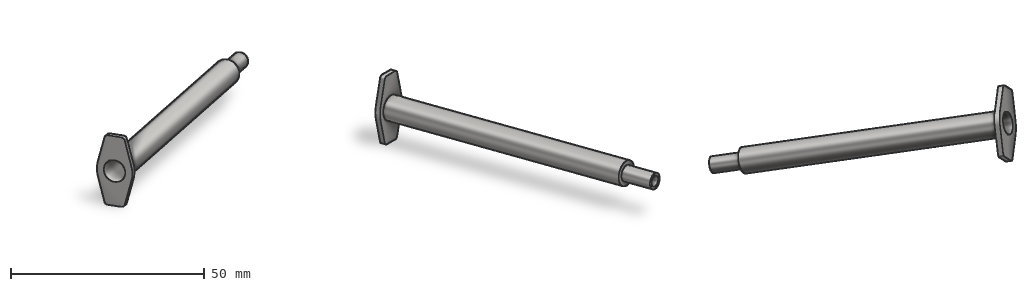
import cadquery as cq
import math

total_length = 84.6
flange_width = 10.0
flange_height = 19.4
flange_thickness = 1.5

flange_taper = math.radians(15)
side_radius = 7.5
corner_radius = 1.0

tube_diameter = 7.0
bore_diameter = 6.0
tip_diameter = 4.5
tip_hole_diameter = 3.0
tip_length = 9.0
shoulder_thickness = 1.5

tube_end = total_length - tip_length
bore_depth = tube_end - shoulder_thickness


def cylinder(diameter, start, end):
    """Solid cylinder on the Y axis between two Y positions."""
    axis_direction = cq.Vector(0, 1, 0)
    solid = cq.Solid.makeCylinder(diameter / 2, end - start, cq.Vector(0, start, 0), axis_direction)
    return cq.Workplane(obj=solid)


def make_flange():
    """Hexagonal plate with rounded side points and end corners."""
    rounding_loss = side_radius * (1 / math.cos(flange_taper) - 1)
    point_x = flange_width / 2 + rounding_loss
    end_z = flange_height / 2
    end_x = point_x - end_z * math.tan(flange_taper)
    outline = [
        (point_x, 0),
        (end_x, end_z),
        (-end_x, end_z),
        (-point_x, 0),
        (-end_x, -end_z),
        (end_x, -end_z),
    ]
    plate = cq.Workplane("XZ").polyline(outline).close().extrude(-flange_thickness)
    plate = plate.edges("|Y").edges("<X or >X").fillet(side_radius)
    return plate.edges("|Y").edges("<Z or >Z").fillet(corner_radius)


body = make_flange()
body = body.union(cylinder(tube_diameter, 0, tube_end))
body = body.union(cylinder(tip_diameter, bore_depth, total_length))

body = body.cut(cylinder(bore_diameter, 0, bore_depth))
result = body.cut(cylinder(tip_hole_diameter, 0, total_length))